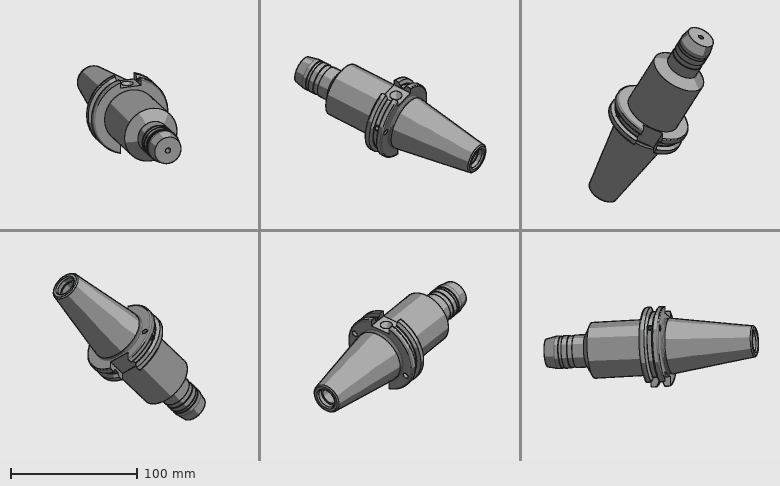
import cadquery as cq
import math

GAUGE_DIAMETER = 44.45
TAPER_RATIO = 7 / 24
TAPER_LENGTH = 68.25
TAPER_END_CHAMFER = 1.0

RELIEF_DIAMETER = 43.6
RELIEF_START = 1.44
RELIEF_FILLET = 0.7

FLANGE_DIAMETER = 63.5
FLANGE_START = 3.175
FLANGE_END = 19.05
FLANGE_EDGE_RADIUS = 1.0
GROOVE_CENTER = 11.1
GROOVE_DIAMETER = 56
GROOVE_FLOOR_WIDTH = 3.8
GROOVE_MOUTH_WIDTH = 7.1
GROOVE_SIDE_ANGLE = 30

SLOT_WIDTH = 17.33
UPPER_SLOT_FLOOR = 25.0
LOWER_SLOT_FLOOR = 22.8
DIMPLE_DIAMETER = 9.53
DIMPLE_POINT_ANGLE = 118

BODY_DIAMETER = 44.45
BODY_END = 63.6
NOSE_END = 101.6
NOSE_DIAMETER = 26
SHOULDER_ANGLE = 60
NOSE_GROOVE_DIAMETER = 25
WIDE_GROOVE_START = 78.2
WIDE_GROOVE_END = 82.7
NARROW_GROOVE_START = 87.3
NARROW_GROOVE_END = 89.9
NOSE_GROOVE_BEVEL = 0.3
TIP_START = 93.0
TIP_ANGLE = 12

MOUTH_DIAMETER = 18
MOUTH_ANGLE = 30
PILOT_DIAMETER = 16.3
PILOT_DEPTH = 5
THREAD_DIAMETER = 13.39
THREAD_DEPTH = 30
DRILL_POINT_ANGLE = 118
FEED_DIAMETER = 6
FEED_DEPTH = 60
THROUGH_DIAMETER = 4.2

PORT_CLOCK_ANGLES = [20, 200]
PORT_DIAMETER = 4.3
PORT_FACE_RADIUS = 26.9
PORT_TILT = 30
PORT_LENGTH = 13
PLUG_DIAMETER = 3.24
PLUG_MOUTH_DIAMETER = 4.3
PLUG_MOUTH_DEPTH = 0.5
PLUG_OVERRUN = 3


def revolve_about_x(points):
    """Solid swept around the X axis by a closed outline of (x, radius) points."""
    return cq.Workplane("XY").polyline(points).close().revolve(360, (0, 0, 0), (1, 0, 0))


def make_shank():
    end_radius = (GAUGE_DIAMETER - TAPER_LENGTH * TAPER_RATIO) / 2
    chamfer_radius = end_radius + TAPER_END_CHAMFER * TAPER_RATIO / 2
    gauge_radius = GAUGE_DIAMETER / 2
    relief_radius = RELIEF_DIAMETER / 2
    shank = revolve_about_x([
        (-TAPER_LENGTH, 0),
        (-TAPER_LENGTH, end_radius - TAPER_END_CHAMFER),
        (-TAPER_LENGTH + TAPER_END_CHAMFER, chamfer_radius),
        (0, gauge_radius),
        (RELIEF_START, relief_radius),
        (FLANGE_START, relief_radius),
        (FLANGE_START, 0),
    ])
    fillet_start = FLANGE_START - RELIEF_FILLET
    fillet = (
        cq.Workplane("XY")
        .moveTo(fillet_start, relief_radius)
        .radiusArc((FLANGE_START, relief_radius + RELIEF_FILLET), -RELIEF_FILLET)
        .lineTo(FLANGE_START, relief_radius)
        .close()
        .revolve(360, (0, 0, 0), (1, 0, 0))
    )
    return shank.union(fillet)


def make_flange():
    rim = FLANGE_DIAMETER / 2
    floor = GROOVE_DIAMETER / 2
    half_floor = GROOVE_FLOOR_WIDTH / 2
    half_mouth = GROOVE_MOUTH_WIDTH / 2
    slope_depth = (half_mouth - half_floor) / math.tan(math.radians(GROOVE_SIDE_ANGLE))
    wall_top = rim - slope_depth
    edge = FLANGE_EDGE_RADIUS
    return (
        cq.Workplane("XY")
        .moveTo(FLANGE_START, 0)
        .lineTo(FLANGE_START, rim - edge)
        .radiusArc((FLANGE_START + edge, rim), edge)
        .lineTo(GROOVE_CENTER - half_mouth, rim)
        .lineTo(GROOVE_CENTER - half_floor, wall_top)
        .lineTo(GROOVE_CENTER - half_floor, floor)
        .lineTo(GROOVE_CENTER + half_floor, floor)
        .lineTo(GROOVE_CENTER + half_floor, wall_top)
        .lineTo(GROOVE_CENTER + half_mouth, rim)
        .lineTo(FLANGE_END - edge, rim)
        .radiusArc((FLANGE_END, rim - edge), edge)
        .lineTo(FLANGE_END, 0)
        .close()
        .revolve(360, (0, 0, 0), (1, 0, 0))
    )


def make_nose():
    body = BODY_DIAMETER / 2
    nose = NOSE_DIAMETER / 2
    groove = NOSE_GROOVE_DIAMETER / 2
    bevel = NOSE_GROOVE_BEVEL
    shoulder_end = BODY_END + (body - nose) / math.tan(math.radians(SHOULDER_ANGLE))
    tip = nose - (NOSE_END - TIP_START) * math.tan(math.radians(TIP_ANGLE))
    return revolve_about_x([
        (FLANGE_END, 0),
        (FLANGE_END, body),
        (BODY_END, body),
        (shoulder_end, nose),
        (WIDE_GROOVE_START, nose),
        (WIDE_GROOVE_START + bevel, groove),
        (WIDE_GROOVE_END - bevel, groove),
        (WIDE_GROOVE_END, nose),
        (NARROW_GROOVE_START, nose),
        (NARROW_GROOVE_START, groove),
        (NARROW_GROOVE_END - bevel, groove),
        (NARROW_GROOVE_END, nose),
        (TIP_START, nose),
        (NOSE_END, tip),
        (NOSE_END, 0),
    ])


def drive_slot(floor, direction):
    """Slot running along X, open outward in the +Z (1) or -Z (-1) direction."""
    length = FLANGE_END - FLANGE_START
    height = FLANGE_DIAMETER / 2
    return cq.Workplane("XY").box(length, SLOT_WIDTH, height).translate(
        ((FLANGE_START + FLANGE_END) / 2, 0, direction * (floor + height / 2))
    )


def slot_dimple():
    radius = DIMPLE_DIAMETER / 2
    depth = radius / math.tan(math.radians(DIMPLE_POINT_ANGLE / 2))
    top = cq.Vector(GROOVE_CENTER, 0, UPPER_SLOT_FLOOR)
    return cq.Workplane(cq.Solid.makeCone(radius, 0, depth, top, cq.Vector(0, 0, -1)))


def stepped_bore():
    mouth = MOUTH_DIAMETER / 2
    pilot = PILOT_DIAMETER / 2
    thread = THREAD_DIAMETER / 2
    feed = FEED_DIAMETER / 2
    through = THROUGH_DIAMETER / 2
    start = -TAPER_LENGTH
    mouth_end = start + (mouth - pilot) / math.tan(math.radians(MOUTH_ANGLE))
    pilot_end = start + PILOT_DEPTH
    thread_end = start + THREAD_DEPTH
    point_end = thread_end + (thread - feed) / math.tan(math.radians(DRILL_POINT_ANGLE / 2))
    feed_end = start + FEED_DEPTH
    return revolve_about_x([
        (start, 0),
        (start, mouth),
        (mouth_end, pilot),
        (pilot_end, pilot),
        (pilot_end, thread),
        (thread_end, thread),
        (point_end, feed),
        (feed_end, feed),
        (feed_end, through),
        (NOSE_END, through),
        (NOSE_END, 0),
    ])


def radial_hole(diameter, inner_radius):
    """Round hole along Y at the groove centre, from inner_radius out past the flange rim."""
    start = cq.Vector(GROOVE_CENTER, inner_radius, 0)
    length = FLANGE_DIAMETER / 2 - inner_radius
    return cq.Solid.makeCylinder(diameter / 2, length, start, cq.Vector(0, 1, 0))


def coolant_port(clock_angle):
    """Hole tilted inward from the flange face, met by a radial hole from the groove floor."""
    tilt = math.radians(PORT_TILT)
    direction = cq.Vector(math.cos(tilt), -math.sin(tilt), 0)
    mouth = cq.Vector(FLANGE_START, PORT_FACE_RADIUS, 0)
    lead_in = PORT_DIAMETER / 2
    port = cq.Solid.makeCylinder(PORT_DIAMETER / 2, PORT_LENGTH + lead_in,
                                 mouth - direction * lead_in, direction)
    meeting_radius = PORT_FACE_RADIUS - (GROOVE_CENTER - FLANGE_START) * math.tan(tilt)
    plug_end = meeting_radius - PLUG_OVERRUN
    plug = radial_hole(PLUG_DIAMETER, plug_end)
    plug_mouth = radial_hole(PLUG_MOUTH_DIAMETER, GROOVE_DIAMETER / 2 - PLUG_MOUTH_DEPTH)
    return cq.Workplane(port.fuse(plug, plug_mouth)).rotate((0, 0, 0), (1, 0, 0), clock_angle)


result = make_shank().union(make_flange()).union(make_nose())
result = result.cut(drive_slot(UPPER_SLOT_FLOOR, 1))
result = result.cut(drive_slot(LOWER_SLOT_FLOOR, -1))
result = result.cut(slot_dimple())
result = result.cut(stepped_bore())
for angle in PORT_CLOCK_ANGLES:
    result = result.cut(coolant_port(angle))